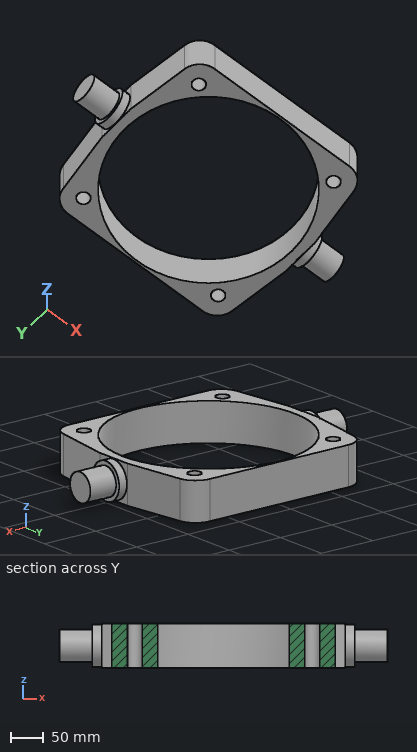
import cadquery as cq
import math

length = 500.0
depth = 344.0
height = 68.0

waist_width = 370.0
waist_flat = height
bore_diameter = 336.0
bolt_spacing = 270.0
bolt_diameter = 22.0
corner_radius = 35.0

collar_diameter = 65.0
collar_span = 400.0
shaft_diameter = 50.0


def frame_outline():
    """Flats at the waist, with sloped sides tangent to the four rounded corners."""
    waist_x = waist_width / 2
    waist_y = waist_flat / 2
    center_x = bolt_spacing / 2
    center_y = depth / 2 - corner_radius

    dx = waist_x - center_x
    dy = waist_y - center_y
    tangent_angle = math.atan2(dy, dx) + math.acos(corner_radius / math.hypot(dx, dy))
    middle_angle = (tangent_angle + math.pi / 2) / 2

    def on_corner(angle, x_sign, y_sign):
        x = center_x + corner_radius * math.cos(angle)
        y = center_y + corner_radius * math.sin(angle)
        return (x_sign * x, y_sign * y)

    outline = cq.Workplane("XY").workplane(offset=-height / 2).moveTo(waist_x, -waist_y)
    for side in (1, -1):
        outline = (
            outline.lineTo(side * waist_x, side * waist_y)
            .lineTo(*on_corner(tangent_angle, side, side))
            .threePointArc(
                on_corner(middle_angle, side, side),
                on_corner(math.pi / 2, side, side),
            )
            .lineTo(*on_corner(math.pi / 2, -side, side))
            .threePointArc(
                on_corner(middle_angle, -side, side),
                on_corner(tangent_angle, -side, side),
            )
            .lineTo(-side * waist_x, side * waist_y)
        )
    return outline.close()


def cross_cylinder(diameter, span):
    """Cylinder along X, centered on the frame."""
    return cq.Workplane("YZ").circle(diameter / 2).extrude(span / 2, both=True)


frame = frame_outline().extrude(height)
trunnions = cross_cylinder(collar_diameter, collar_span).union(cross_cylinder(shaft_diameter, length))

bore = cq.Workplane("XY").circle(bore_diameter / 2).extrude(height, both=True)
bolt_holes = (
    cq.Workplane("XY")
    .rect(bolt_spacing, bolt_spacing, forConstruction=True)
    .vertices()
    .circle(bolt_diameter / 2)
    .extrude(height, both=True)
)

result = frame.union(trunnions).cut(bore).cut(bolt_holes)